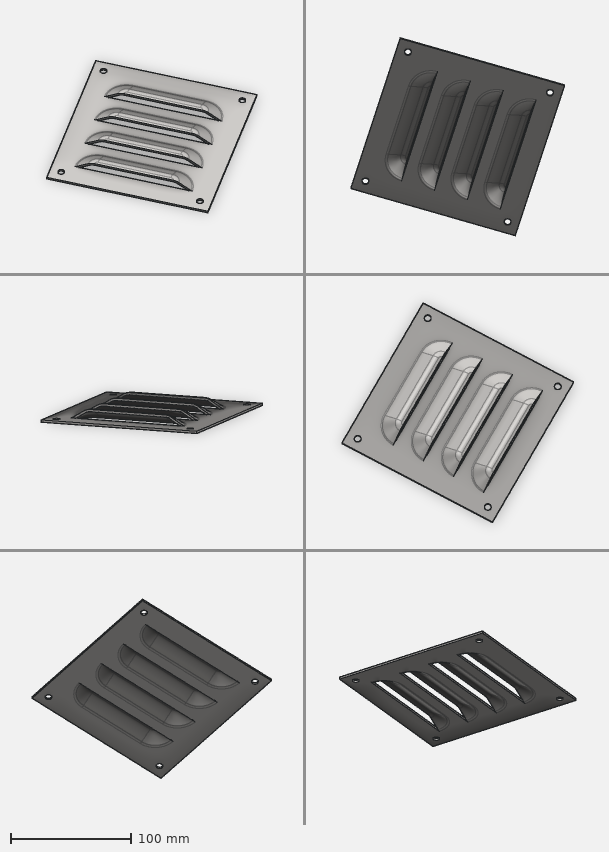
import cadquery as cq
import math

plate_width = 139.7
plate_length = 142.9
overall_height = 10.1
sheet = 2.0

hole_diameter = 5.6
hole_inset = 9.7

louver_count = 4
louver_pitch = 28.6
louver_depth = 19.3
louver_straight = 63.2
wall_angle = math.radians(31)
foot_radius = 2.0
crown_radius = 10.0

row_length = (louver_count - 1) * louver_pitch + louver_depth
first_mouth_y = -row_length / 2

foot_corner = louver_depth - foot_radius * math.tan(wall_angle / 2)
crown_corner = foot_corner - (overall_height - sheet) / math.tan(wall_angle)
crown_flat = crown_corner - crown_radius * math.tan(wall_angle / 2)


def foot_point(radius, angle):
    """Point on an arc of the foot bend; angle zero is where it leaves the plate."""
    center_z = sheet + foot_radius
    return louver_depth - radius * math.sin(angle), center_z - radius * math.cos(angle)


def crown_point(radius, angle):
    """Point on an arc of the crown bend; angle zero is where it meets the flat top."""
    center_z = overall_height - crown_radius
    return crown_flat + radius * math.sin(angle), center_z + radius * math.cos(angle)


def hood_section(plane, origin):
    """Constant-thickness wall section running from the mouth to the plate."""
    foot_under = foot_radius + sheet
    crown_under = crown_radius - sheet
    half_angle = wall_angle / 2
    return (
        cq.Workplane(plane, origin=origin)
        .moveTo(0, overall_height)
        .lineTo(*crown_point(crown_radius, 0))
        .threePointArc(crown_point(crown_radius, half_angle), crown_point(crown_radius, wall_angle))
        .lineTo(*foot_point(foot_radius, wall_angle))
        .threePointArc(foot_point(foot_radius, half_angle), foot_point(foot_radius, 0))
        .lineTo(*foot_point(foot_under, 0))
        .threePointArc(foot_point(foot_under, half_angle), foot_point(foot_under, wall_angle))
        .lineTo(*crown_point(crown_under, wall_angle))
        .threePointArc(crown_point(crown_under, half_angle), crown_point(crown_under, 0))
        .lineTo(0, overall_height - sheet)
        .close()
    )


def louver_hood(mouth_y):
    """Straight hood closed at each side by a quarter turn of the same section."""
    half_straight = louver_straight / 2
    hood = hood_section("YZ", (-half_straight, mouth_y, 0)).extrude(louver_straight)
    right_end = hood_section("XZ", (half_straight, mouth_y, 0)).revolve(90, (0, 0), (0, 1))
    left_end = right_end.mirror("YZ")
    return hood.union(right_end).union(left_end)


def louver_opening(mouth_y):
    """Plate cutout that matches the foot outline of a hood."""
    half_straight = louver_straight / 2
    return (
        cq.Workplane("XY")
        .moveTo(-half_straight - louver_depth, mouth_y)
        .lineTo(half_straight + louver_depth, mouth_y)
        .radiusArc((half_straight, mouth_y + louver_depth), -louver_depth)
        .lineTo(-half_straight, mouth_y + louver_depth)
        .radiusArc((-half_straight - louver_depth, mouth_y), -louver_depth)
        .close()
        .extrude(sheet)
    )


result = (
    cq.Workplane("XY")
    .rect(plate_width, plate_length)
    .extrude(sheet)
    .faces(">Z")
    .workplane()
    .rect(plate_width - 2 * hole_inset, plate_length - 2 * hole_inset, forConstruction=True)
    .vertices()
    .hole(hole_diameter)
)

for index in range(louver_count):
    louver_y = first_mouth_y + index * louver_pitch
    result = result.cut(louver_opening(louver_y)).union(louver_hood(louver_y))